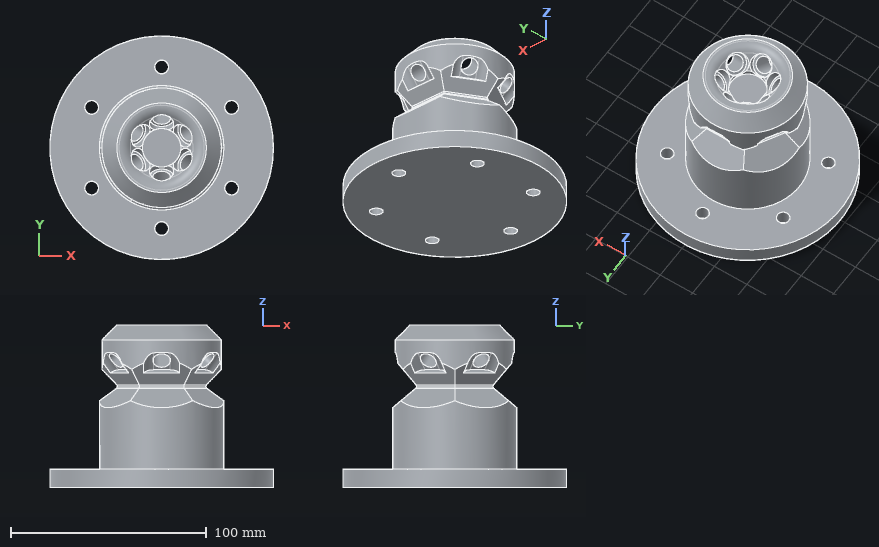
import cadquery as cq
import math

SIDES = 6
STEP_ANGLE = 360 / SIDES
OVERALL_HEIGHT = 83.2

FLANGE_RADIUS = 57.2
FLANGE_THICKNESS = 9.5
BOLT_CIRCLE_RADIUS = 41.3
BOLT_HOLE_RADIUS = 3.4

BODY_RADIUS = 31.8
HEAD_RADIUS = 30.5
HEAD_TOP_RADIUS = 22.9
HEAD_CHAMFER = HEAD_RADIUS - HEAD_TOP_RADIUS

FLAT_TILT = math.radians(40)
NECK_TOP_HEIGHT = 52.5
NECK_MIDDLE_HEIGHT = 51.5
NECK_BOTTOM_HEIGHT = 50.7
NECK_TOP_APOTHEM = 19.8
NECK_MIDDLE_APOTHEM = 19.5
NECK_BOTTOM_APOTHEM = 20.0

BOWL_RIM_RADIUS = 21.7
BOWL_LIP_FILLET = 7.4
BOWL_FLOOR_RADIUS = 9.8
BOWL_FLOOR_HEIGHT = 70.4

PORT_RADIUS = 4.5
PORT_AXIS_HEIGHT = 64.9
COUNTERBORE_RADIUS = 6.2
COUNTERBORE_SEAT_RADIUS = 14.9
POCKET_DEPTH = 2.5
POCKET_FLOOR_WIDTH = 8.6
POCKET_CORNER_RADIUS = 6.1
POCKET_BOTTOM_HEIGHT = 58.6
CUT_LENGTH = 13.7


def hexagon_frustum(bottom_height, bottom_apothem, top_height, top_apothem):
    """Six-sided frustum with corners on the X axis."""
    diameter_per_apothem = 2 / math.cos(math.pi / SIDES)
    return (
        cq.Workplane("XY", origin=(0, 0, bottom_height))
        .polygon(SIDES, bottom_apothem * diameter_per_apothem)
        .workplane(offset=top_height - bottom_height)
        .polygon(SIDES, top_apothem * diameter_per_apothem)
        .loft(ruled=True, combine=True)
    )


def cylinder(radius, bottom_height, top_height):
    return cq.Workplane("XY", origin=(0, 0, bottom_height)).circle(radius).extrude(top_height - bottom_height)


def around_axis(cutter):
    """Repeat a cutter made on the -Y side under every flat."""
    cutters = cutter
    for index in range(1, SIDES):
        cutters = cutters.union(cutter.rotate((0, 0, 0), (0, 0, 1), index * STEP_ANGLE))
    return cutters


def upper_flat_apothem(height):
    """Distance from the axis to the middle of an upper flat at a height."""
    return NECK_TOP_APOTHEM + (height - NECK_TOP_HEIGHT) * math.tan(FLAT_TILT)


def make_flange():
    return (
        cq.Workplane("XY").circle(FLANGE_RADIUS).extrude(FLANGE_THICKNESS)
        .faces(">Z").workplane()
        .polarArray(BOLT_CIRCLE_RADIUS, STEP_ANGLE / 2, 360, SIDES)
        .hole(2 * BOLT_HOLE_RADIUS)
    )


def make_body():
    """Round body whose top is cut to a hexagonal pyramid, square to the upper flats."""
    height = NECK_BOTTOM_HEIGHT - FLANGE_THICKNESS
    foot_apothem = NECK_BOTTOM_APOTHEM + height * math.tan(math.pi / 2 - FLAT_TILT)
    pyramid = hexagon_frustum(FLANGE_THICKNESS, foot_apothem, NECK_BOTTOM_HEIGHT, NECK_BOTTOM_APOTHEM)
    return cylinder(BODY_RADIUS, FLANGE_THICKNESS, NECK_BOTTOM_HEIGHT).intersect(pyramid)


def make_neck():
    lower = hexagon_frustum(NECK_BOTTOM_HEIGHT, NECK_BOTTOM_APOTHEM, NECK_MIDDLE_HEIGHT, NECK_MIDDLE_APOTHEM)
    upper = hexagon_frustum(NECK_MIDDLE_HEIGHT, NECK_MIDDLE_APOTHEM, NECK_TOP_HEIGHT, NECK_TOP_APOTHEM)
    return lower.union(upper)


def make_head():
    blank = cylinder(HEAD_RADIUS, NECK_TOP_HEIGHT, OVERALL_HEIGHT).faces(">Z").chamfer(HEAD_CHAMFER)
    pyramid = hexagon_frustum(
        NECK_TOP_HEIGHT, NECK_TOP_APOTHEM, OVERALL_HEIGHT, upper_flat_apothem(OVERALL_HEIGHT)
    )
    return blank.intersect(pyramid)


def make_bowl():
    """Flat-floored bowl with a cone square to the port axes and a lip rounded tangent to it."""
    lip_centre_height = OVERALL_HEIGHT - BOWL_LIP_FILLET

    def lip_point(slope):
        return (
            BOWL_RIM_RADIUS - BOWL_LIP_FILLET * math.sin(slope),
            lip_centre_height + BOWL_LIP_FILLET * math.cos(slope),
        )

    cone_slope = math.pi / 2 - FLAT_TILT
    cone_top_radius, cone_top_height = lip_point(cone_slope)
    cone_foot_height = cone_top_height - (cone_top_radius - BOWL_FLOOR_RADIUS) * math.tan(cone_slope)
    return (
        cq.Workplane("XZ")
        .moveTo(0, BOWL_FLOOR_HEIGHT)
        .lineTo(BOWL_FLOOR_RADIUS, BOWL_FLOOR_HEIGHT)
        .lineTo(BOWL_FLOOR_RADIUS, cone_foot_height)
        .lineTo(cone_top_radius, cone_top_height)
        .threePointArc(lip_point(cone_slope / 2), lip_point(0))
        .lineTo(0, OVERALL_HEIGHT)
        .close()
        .revolve(360, (0, 0, 0), (0, 1, 0))
    )


def make_port():
    """Bore, inner counterbore and outer pocket of the port on the -Y side."""
    inward = (0, math.cos(FLAT_TILT), math.sin(FLAT_TILT))
    up_flat = (0, -math.sin(FLAT_TILT), math.cos(FLAT_TILT))

    floor_distance = upper_flat_apothem(PORT_AXIS_HEIGHT) - POCKET_DEPTH / math.cos(FLAT_TILT)
    seat_depth = (floor_distance - COUNTERBORE_SEAT_RADIUS) / math.cos(FLAT_TILT)
    floor_plane = cq.Plane((0, -floor_distance, PORT_AXIS_HEIGHT), (1, 0, 0), inward)
    bore = cq.Workplane(floor_plane).circle(PORT_RADIUS).extrude(seat_depth)
    counterbore = (
        cq.Workplane(floor_plane).workplane(offset=seat_depth).circle(COUNTERBORE_RADIUS).extrude(CUT_LENGTH)
    )

    flat_edge = (0, -upper_flat_apothem(POCKET_BOTTOM_HEIGHT), POCKET_BOTTOM_HEIGHT)
    trough_width = POCKET_FLOOR_WIDTH + 2 * POCKET_CORNER_RADIUS
    trough_plane = cq.Plane(flat_edge, (1, 0, 0), up_flat)
    trough = (
        cq.Workplane(trough_plane)
        .center(0, POCKET_DEPTH - CUT_LENGTH / 2)
        .rect(trough_width, CUT_LENGTH)
        .extrude(2 * CUT_LENGTH)
        .edges(cq.selectors.ParallelDirSelector(cq.Vector(up_flat)))
        .edges(">Y")
        .fillet(POCKET_CORNER_RADIUS)
    )
    return bore, counterbore, trough


result = make_flange().union(make_body()).union(make_neck()).union(make_head()).cut(make_bowl())
for port_cutter in make_port():
    result = result.cut(around_axis(port_cutter))